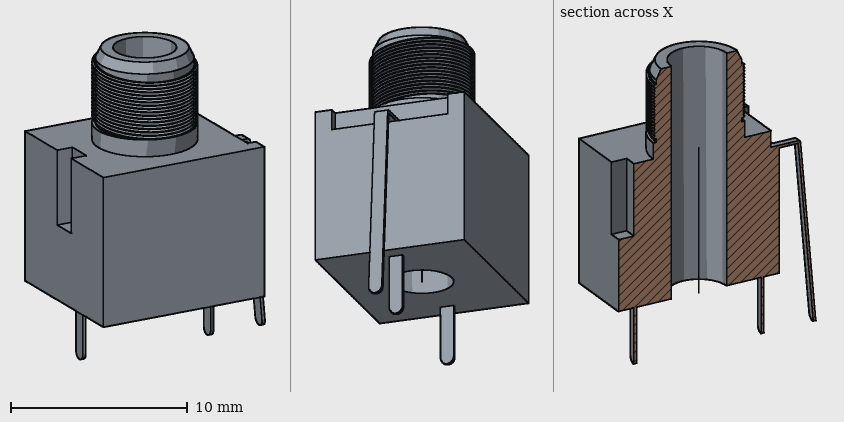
import cadquery as cq
import math

OVERALL_HEIGHT = 18.0
OVERALL_DEPTH = 12.89

HOUSING_WIDTH = 9.0
HOUSING_DEPTH = 10.5
HOUSING_HEIGHT = 9.0
BACK_Y = HOUSING_DEPTH / 2

NOTCH_WIDTH = 1.6
NOTCH_DEPTH = 0.99
NOTCH_HEIGHT = HOUSING_HEIGHT / 2

RECESS_WIDTH = 7.0
RECESS_DEPTH = 0.54

STRIP_WIDTH = 0.8
STRIP_THICKNESS = 0.2
PIN_LENGTH = 3.5
PIN_EMBED = 0.36
PIN_Y = BACK_Y - NOTCH_DEPTH - STRIP_THICKNESS / 2

LEAD_DROP = 1.0
LEAD_LEAN = 5.0
LEAD_TOP_Z = HOUSING_HEIGHT - LEAD_DROP
LEAD_TIP_Y = OVERALL_DEPTH - BACK_Y

BARREL_BASE_Z = HOUSING_HEIGHT
BARREL_TOP_Z = OVERALL_HEIGHT - PIN_LENGTH
BORE_DIAMETER = 3.6
CORE_DIAMETER = 5.6
COLLAR_DIAMETER = 6.0
COLLAR_HEIGHT = 1.0
LEAD_IN_HEIGHT = 0.61
LEAD_IN_WIDTH = 0.3

THREAD_TILT = 5.0
THREAD_COUNT = 17
THREAD_SPAN = 3.2
THREAD_PITCH = THREAD_SPAN / (THREAD_COUNT - 1)
THREAD_HEIGHT = (COLLAR_DIAMETER - CORE_DIAMETER) / 2
THREAD_ROOT_EMBED = 0.09
LOWEST_RING_RISE = 0.3

WIRE_DIAMETER = 0.002
WIRE_LENGTH = HOUSING_HEIGHT


def box(width, depth, height, y_min, z_min):
    """Block centred on X, starting at the given Y and Z."""
    block = cq.Workplane("XY").box(width, depth, height, centered=(True, False, False))
    return block.translate((0, y_min, z_min))


def make_block():
    """Housing block with the front notch and the wide shallow recess in its back."""
    block = box(HOUSING_WIDTH, HOUSING_DEPTH, HOUSING_HEIGHT, -BACK_Y, 0)
    notch = box(NOTCH_WIDTH, NOTCH_DEPTH, NOTCH_HEIGHT, -BACK_Y, HOUSING_HEIGHT - NOTCH_HEIGHT)
    recess_height = LEAD_DROP + STRIP_THICKNESS
    recess_y = BACK_Y - RECESS_DEPTH
    recess_z = HOUSING_HEIGHT - recess_height
    recess = box(RECESS_WIDTH, RECESS_DEPTH, recess_height, recess_y, recess_z)
    return block.cut(notch).cut(recess)


def strip_outline(top_z, y_min, depth):
    """Upright strip with a full-round lower end, as deep as asked along +Y from y_min."""
    half_width = STRIP_WIDTH / 2
    round_z = -PIN_LENGTH + half_width
    return (
        cq.Workplane("XZ", origin=(0, y_min, 0))
        .moveTo(-half_width, top_z)
        .lineTo(-half_width, round_z)
        .threePointArc((0, -PIN_LENGTH), (half_width, round_z))
        .lineTo(half_width, top_z)
        .close()
        .extrude(-depth)
    )


def make_pin(y_centre):
    """Straight pin, rooted in the underside of the housing."""
    return strip_outline(PIN_EMBED, y_centre - STRIP_THICKNESS / 2, STRIP_THICKNESS)


def make_lead():
    """Bent strip: level out of the recess wall, then leaning outward down to its round tip."""
    lean = math.radians(LEAD_LEAN)
    root_y = BACK_Y - RECESS_DEPTH
    slant_y = STRIP_THICKNESS / math.cos(lean)
    corner_y = LEAD_TIP_Y - (LEAD_TOP_Z + PIN_LENGTH) * math.tan(lean)
    under_z = LEAD_TOP_Z - STRIP_THICKNESS
    inner_y = corner_y + STRIP_THICKNESS * math.tan(lean) - slant_y
    side = (
        cq.Workplane("YZ", origin=(-STRIP_WIDTH / 2, 0, 0))
        .polyline(
            [
                (root_y, LEAD_TOP_Z),
                (corner_y, LEAD_TOP_Z),
                (LEAD_TIP_Y, -PIN_LENGTH),
                (LEAD_TIP_Y - slant_y, -PIN_LENGTH),
                (inner_y, under_z),
                (root_y, under_z),
            ]
        )
        .close()
        .extrude(STRIP_WIDTH)
    )
    outer_corner = cq.selectors.NearestToPointSelector((0, corner_y, LEAD_TOP_Z))
    bent = side.edges(outer_corner).fillet(STRIP_THICKNESS)
    return bent.intersect(strip_outline(LEAD_TOP_Z, root_y, LEAD_TIP_Y - root_y))


def make_barrel():
    """Plain barrel: wide collar, thread core and conical lead-in, turned about Z."""
    core_radius = CORE_DIAMETER / 2
    collar_radius = COLLAR_DIAMETER / 2
    collar_top = BARREL_BASE_Z + COLLAR_HEIGHT
    return (
        cq.Workplane("XZ")
        .polyline(
            [
                (0, BARREL_BASE_Z),
                (collar_radius, BARREL_BASE_Z),
                (collar_radius, collar_top),
                (core_radius, collar_top),
                (core_radius, BARREL_TOP_Z - LEAD_IN_HEIGHT),
                (core_radius - LEAD_IN_WIDTH, BARREL_TOP_Z),
                (0, BARREL_TOP_Z),
            ]
        )
        .close()
        .revolve(360, (0, 0), (0, 1))
    )


def make_thread_ring(z_centre):
    """One ring with 45-degree flanks, rooted below the core surface and tilted about Y."""
    crest_radius = COLLAR_DIAMETER / 2
    root_radius = CORE_DIAMETER / 2 - THREAD_ROOT_EMBED
    half_root = THREAD_HEIGHT + THREAD_ROOT_EMBED
    return (
        cq.Workplane("XZ")
        .polyline([(root_radius, -half_root), (crest_radius, 0), (root_radius, half_root)])
        .close()
        .revolve(360, (0, 0), (0, 1))
        .rotate((0, 0, 0), (0, 1, 0), THREAD_TILT)
        .translate((0, 0, z_centre))
    )


def make_thread():
    """Stack of rings spaced along Z, cut off flat half a pitch beyond the first and last crests."""
    thread = make_thread_ring(0)
    for i in range(1, THREAD_COUNT):
        thread = thread.union(make_thread_ring(i * THREAD_PITCH))
    stack_length = THREAD_SPAN * math.cos(math.radians(THREAD_TILT)) + THREAD_PITCH
    limits = (
        cq.Workplane("XY")
        .cylinder(stack_length, COLLAR_DIAMETER)
        .rotate((0, 0, 0), (0, 1, 0), THREAD_TILT)
        .translate((0, 0, THREAD_SPAN / 2))
    )
    lowest_ring_z = BARREL_BASE_Z + COLLAR_HEIGHT + LOWEST_RING_RISE
    return thread.intersect(limits).translate((0, 0, lowest_ring_z))


def make_jack():
    """Housing, threaded barrel and terminals in one piece, bored through along Z."""
    jack = make_block().union(make_barrel()).union(make_thread())
    bore = cq.Workplane("XY").circle(BORE_DIAMETER / 2).extrude(BARREL_TOP_Z)
    jack = jack.cut(bore)
    for pin_y in (-PIN_Y, PIN_Y):
        jack = jack.union(make_pin(pin_y))
    return jack.union(make_lead())


def make_wire():
    """Hair-thin wire on the bore axis, as long as the housing is high."""
    return cq.Workplane("XY").circle(WIRE_DIAMETER / 2).extrude(WIRE_LENGTH)


jack = make_jack()
wire = make_wire()
result = cq.Compound.makeCompound([jack.val(), wire.val()])